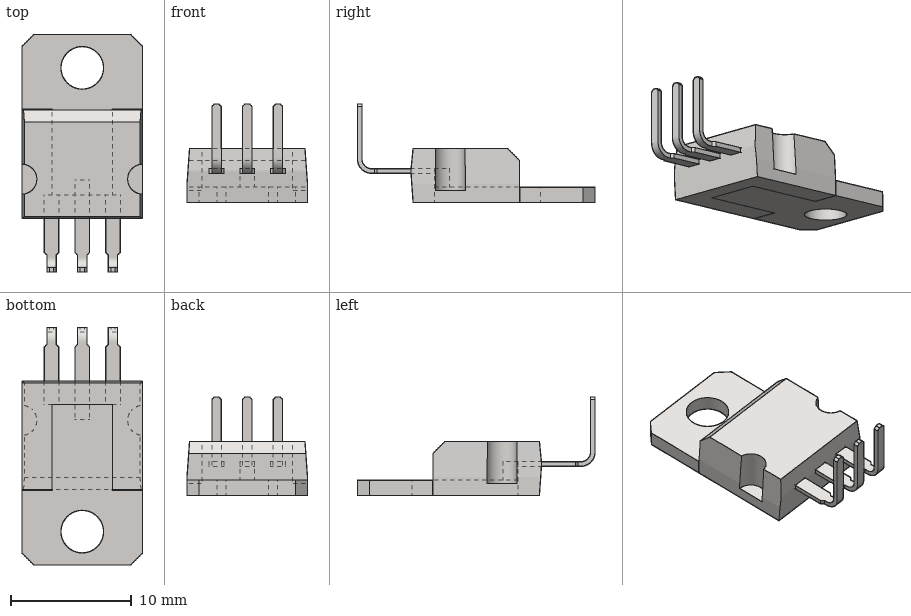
import cadquery as cq

total_length = 19.7
total_height = 8.2
body_width = 10.0
tab_end_y = total_length / 2
lead_outer_y = -total_length / 2

housing_length = 9.0
housing_height = 4.51
housing_back_y = 3.59
housing_front_y = housing_back_y - housing_length
back_chamfer = 1.0
front_inset = 0.18
side_inset = 0.22
side_draft_z = 1.54
parting_band = 0.18
notch_radius = 1.25
notch_floor_z = 1.0
notch_y = -2.15

tab_thickness = 1.3
tab_corner = 1.0
tab_hole_diameter = 3.5
tab_hole_offset = 2.78
shoulder_gap = 0.04
tongue_width = body_width / 2

lead_pitch = 2.55
lead_thickness = 0.4
lead_wide = 1.22
lead_narrow = 0.79
lead_bottom_z = 2.42
lead_bend_radius = 0.8
lead_taper_y = -8.21
lead_tip_chamfer = 0.22
lead_embed = 1.97

lead_root_y = housing_front_y + lead_embed
lead_top_z = lead_bottom_z + lead_thickness
lead_middle_z = lead_bottom_z + lead_thickness / 2
lead_inner_y = lead_outer_y + lead_thickness


def make_lead(x):
    """Flat lead that leaves the housing, narrows and bends upward."""
    profile = (
        cq.Workplane("YZ")
        .moveTo(lead_root_y, lead_bottom_z)
        .lineTo(lead_outer_y, lead_bottom_z)
        .lineTo(lead_outer_y, total_height)
        .lineTo(lead_inner_y, total_height)
        .lineTo(lead_inner_y, lead_top_z)
        .lineTo(lead_root_y, lead_top_z)
        .close()
        .extrude(lead_wide / 2, both=True)
    )
    bent = profile.edges(cq.NearestToPointSelector((0, lead_inner_y, lead_top_z))).fillet(lead_bend_radius)
    bent = bent.edges(cq.NearestToPointSelector((0, lead_outer_y, lead_bottom_z))).fillet(
        lead_bend_radius + lead_thickness
    )
    half_wide = lead_wide / 2
    half_narrow = lead_narrow / 2
    narrow_y = lead_taper_y - (half_wide - half_narrow)
    plan = (
        cq.Workplane("XY")
        .moveTo(-half_wide, lead_root_y)
        .lineTo(-half_wide, lead_taper_y)
        .lineTo(-half_narrow, narrow_y)
        .lineTo(-half_narrow, lead_outer_y)
        .lineTo(half_narrow, lead_outer_y)
        .lineTo(half_narrow, narrow_y)
        .lineTo(half_wide, lead_taper_y)
        .lineTo(half_wide, lead_root_y)
        .close()
        .extrude(total_height)
    )
    shaped = bent.intersect(plan)
    shaped = shaped.faces(">Z").edges("|Y").chamfer(lead_tip_chamfer)
    return shaped.translate((x, 0, 0))


def make_tab():
    """Drilled tab whose tongue runs into the housing and rises to carry the centre lead."""
    shoulder_y = housing_back_y + shoulder_gap
    plate_length = tab_end_y - shoulder_y
    plate = (
        cq.Workplane("XY")
        .box(body_width, plate_length, tab_thickness, centered=(True, False, False))
        .translate((0, shoulder_y, 0))
        .edges("|Z and >Y")
        .chamfer(tab_corner)
    )
    hole = (
        cq.Workplane("XY")
        .center(0, tab_end_y - tab_hole_offset)
        .circle(tab_hole_diameter / 2)
        .extrude(tab_thickness)
    )
    tongue = (
        cq.Workplane("XY")
        .box(tongue_width, shoulder_y - lead_root_y, tab_thickness, centered=(True, False, False))
        .translate((0, lead_root_y, 0))
    )
    riser = (
        cq.Workplane("XY")
        .box(lead_wide, lead_wide, lead_top_z, centered=(True, False, False))
        .translate((0, lead_root_y, 0))
    )
    return plate.cut(hole).union(tongue).union(riser).union(make_lead(0))


def make_housing(inserts):
    """Drafted block with side notches, moulded around the metal inserts."""
    half_band = parting_band / 2
    side_profile = (
        cq.Workplane("YZ")
        .moveTo(housing_back_y, 0)
        .lineTo(housing_back_y, housing_height - back_chamfer)
        .lineTo(housing_back_y - back_chamfer, housing_height)
        .lineTo(housing_front_y + front_inset, housing_height)
        .lineTo(housing_front_y, lead_middle_z + half_band)
        .lineTo(housing_front_y, lead_middle_z - half_band)
        .lineTo(housing_front_y + front_inset, 0)
        .close()
        .extrude(body_width / 2, both=True)
    )
    half_width = body_width / 2
    cross_section = (
        cq.Workplane("XZ", origin=(0, housing_back_y, 0))
        .moveTo(-half_width, 0)
        .lineTo(-half_width, side_draft_z)
        .lineTo(-half_width + side_inset, housing_height)
        .lineTo(half_width - side_inset, housing_height)
        .lineTo(half_width, side_draft_z)
        .lineTo(half_width, 0)
        .close()
        .extrude(housing_length)
    )
    notches = (
        cq.Workplane("XY", origin=(0, 0, notch_floor_z))
        .pushPoints([(-half_width, notch_y), (half_width, notch_y)])
        .circle(notch_radius)
        .extrude(housing_height)
    )
    housing = side_profile.intersect(cross_section).cut(notches)
    for insert in inserts:
        housing = housing.cut(insert)
    return housing


tab = make_tab()
outer_leads = [make_lead(side * lead_pitch) for side in (-1, 1)]
housing = make_housing([tab, *outer_leads])

result = cq.Compound.makeCompound([housing.val(), tab.val(), *[lead.val() for lead in outer_leads]])